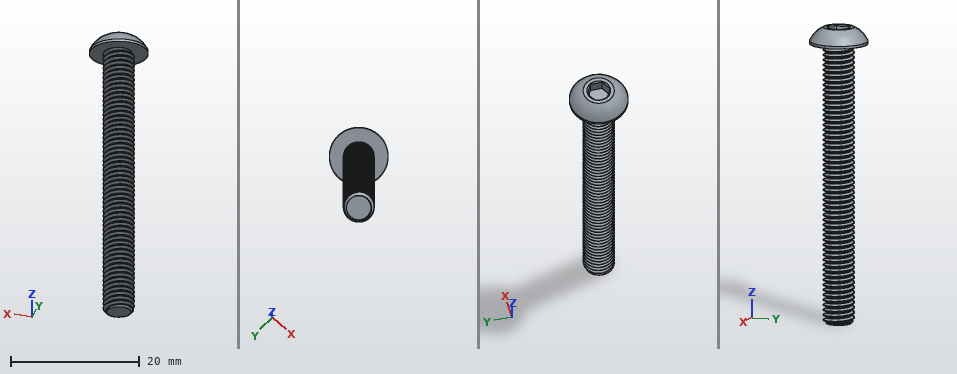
import cadquery as cq
import math


length = 47.0

head_diameter = 9.15
head_height = 2.6
rim_height = 0.4
crown_diameter = 4.85
dome_bulge = 0.3

socket_across_flats = 3.2
socket_depth = 1.9
lead_in_angle = math.radians(45)

turns_on_shank = 56
major_diameter = 4.85
thread_depth = 0.45
flank_half_angle = math.radians(30)
crest_offset = -0.1
tip_chamfer = 0.5

shank_length = length - head_height
rim_top = shank_length + rim_height
head_radius = head_diameter / 2
crown_radius = crown_diameter / 2
socket_corner_radius = socket_across_flats / 2 / math.cos(math.pi / 6)
pitch = shank_length / turns_on_shank
major_radius = major_diameter / 2
minor_radius = major_radius - thread_depth
crest_half = pitch / 16
base_half = crest_half + thread_depth * math.tan(flank_half_angle)


def make_head():
    """Cylindrical rim below a domed top with a flat crown."""
    chord_run = head_radius - crown_radius
    chord_rise = length - rim_top
    chord = math.hypot(chord_run, chord_rise)
    dome_middle = (
        (head_radius + crown_radius) / 2 + dome_bulge * chord_rise / chord,
        (rim_top + length) / 2 + dome_bulge * chord_run / chord,
    )
    return (
        cq.Workplane("XZ")
        .moveTo(0, shank_length)
        .lineTo(head_radius, shank_length)
        .lineTo(head_radius, rim_top)
        .threePointArc(dome_middle, (crown_radius, length))
        .lineTo(0, length)
        .close()
        .revolve(360, (0, 0, 0), (0, 1, 0))
    )


def make_socket():
    """Hexagonal recess with corners on the Y axis and a conical lead-in."""
    hexagon = (
        cq.Workplane("XY", origin=(0, 0, length - socket_depth))
        .polygon(6, 2 * socket_corner_radius)
        .extrude(socket_depth)
        .rotate((0, 0, 0), (0, 0, 1), 30)
    )
    cone_depth = socket_corner_radius / math.tan(lead_in_angle)
    lead_in = cq.Solid.makeCone(
        socket_corner_radius, 0, cone_depth, cq.Vector(0, 0, length), cq.Vector(0, 0, -1)
    )
    return hexagon.union(cq.Workplane(lead_in))


def helix_turn(radius, start):
    """One turn of a helix about Z, from the +X side at height start."""
    return cq.Wire.makeHelix(pitch, pitch, radius, cq.Vector(0, 0, start)).Edges()[0]


def make_threaded_rod():
    """Threaded rod reaching past both ends of the shank, built from one-turn helical faces."""
    tooth = [
        (minor_radius, 0),
        (major_radius, base_half - crest_half),
        (major_radius, base_half + crest_half),
        (minor_radius, 2 * base_half),
        (minor_radius, pitch),
    ]
    bottom = crest_offset - base_half - 2 * pitch
    turns = math.ceil((rim_top - bottom) / pitch) + 1
    top = bottom + turns * pitch

    faces = []
    for turn in range(turns):
        start = bottom + turn * pitch
        helices = [helix_turn(radius, start + height) for radius, height in tooth]
        for lower, upper in zip(helices, helices[1:]):
            faces.append(cq.Face.makeRuledSurface(lower, upper))

    for end in (bottom, top):
        axis_start = cq.Vector(0, 0, end)
        axis_end = cq.Vector(0, 0, end + pitch)
        axis = cq.Edge.makeLine(axis_start, axis_end)
        faces.append(cq.Face.makeRuledSurface(axis, helix_turn(minor_radius, end)))
        tooth_points = [cq.Vector(radius, 0, end + height) for radius, height in tooth]
        step = cq.Wire.makePolygon([axis_start, *tooth_points, axis_end], close=True)
        faces.append(cq.Face.makeFromWires(step))
    return cq.Workplane(cq.Solid.makeSolid(cq.Shell.makeShell(faces)))


def make_shank():
    """Threaded rod cut to length, with a 45 degree chamfer at the tip."""
    clearance = 0.45
    envelope = (
        cq.Workplane("XY")
        .circle(major_radius + clearance)
        .extrude(rim_top)
        .faces("<Z")
        .chamfer(tip_chamfer + clearance)
    )
    return make_threaded_rod().intersect(envelope, clean=False)


screw = make_shank().union(make_head(), clean=False).cut(make_socket(), clean=False)
result = screw.solids()